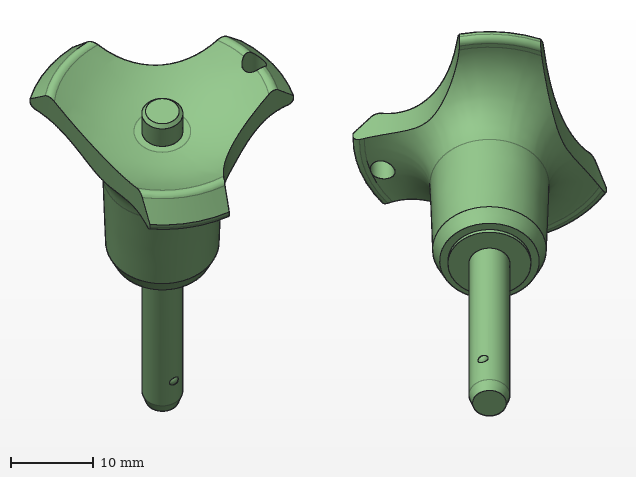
import cadquery as cq
import math


shank_radius = 2.5
shank_length = 26.0
nose_radius = 2.05
nose_height = 1.5
ball_radius = 0.72
ball_tip_radius = 2.83
ball_height_above_nose = 5.5

handle_height = 26.7
collar_radius = 5.05
collar_height = 0.5
base_radius = 6.05
grip_bottom_radius = 6.92
grip_bottom_z = 2.6
grip_top_radius = 7.25
flare_radius = 7.95

head_radius = 16.6
rim_depth = 4.0
band_top_depth = 2.7
tip_radius = 0.8
lip_radius = 0.95
lip_center_radius = 13.75
dish_radius = 23.0

side_scallop_radius = 16.1
side_scallop_x = 21.46
side_scallop_y = 13.6
front_scallop_radius = 50.5
front_scallop_y = -9.19

wing_hole_radius = 1.5
wing_hole_y = 13.7

button_radius = 2.5
button_drop = 0.45
button_chamfer = 0.45
seat_radius = 3.45

rim_bottom_z = handle_height - rim_depth
grip_top_z = rim_bottom_z - flare_radius
band_top_z = handle_height - band_top_depth
lip_center_z = handle_height - lip_radius
tip_center_radius = head_radius - tip_radius
tip_center_z = rim_bottom_z + tip_radius
dish_center_z = lip_center_z + math.sqrt((dish_radius + lip_radius) ** 2 - lip_center_radius ** 2)
seat_z = dish_center_z - math.sqrt(dish_radius ** 2 - seat_radius ** 2)


def arc_point(center_r, center_z, radius, angle):
    """Point in the (radius, height) half-plane on an arc at the given angle in radians."""
    return (center_r + radius * math.cos(angle), center_z + radius * math.sin(angle))


def make_handle():
    band_offset_r = head_radius - lip_center_radius
    band_offset_z = band_top_z - lip_center_z
    band_distance = math.hypot(band_offset_r, band_offset_z)
    rim_angle = math.atan2(band_offset_z, band_offset_r) + math.acos(lip_radius / band_distance)
    dish_angle = math.atan2(dish_center_z - lip_center_z, -lip_center_radius)
    lip_mid_angle = (rim_angle + dish_angle) / 2
    seat_angle = math.acos(seat_radius / dish_radius)
    dish_edge_angle = math.pi - dish_angle
    dish_mid_angle = -(seat_angle + dish_edge_angle) / 2
    flare_center_r = grip_top_radius + flare_radius

    profile = (
        cq.Workplane("XZ")
        .lineTo(collar_radius, 0)
        .lineTo(collar_radius, collar_height)
        .lineTo(base_radius, collar_height)
        .lineTo(grip_bottom_radius, grip_bottom_z)
        .lineTo(grip_top_radius, grip_top_z)
        .threePointArc(
            arc_point(flare_center_r, grip_top_z, flare_radius, math.radians(135)),
            (flare_center_r, rim_bottom_z),
        )
        .lineTo(tip_center_radius, rim_bottom_z)
        .threePointArc(
            arc_point(tip_center_radius, tip_center_z, tip_radius, math.radians(-45)),
            (head_radius, tip_center_z),
        )
        .lineTo(head_radius, band_top_z)
        .lineTo(*arc_point(lip_center_radius, lip_center_z, lip_radius, rim_angle))
        .threePointArc(
            arc_point(lip_center_radius, lip_center_z, lip_radius, lip_mid_angle),
            arc_point(lip_center_radius, lip_center_z, lip_radius, dish_angle),
        )
        .threePointArc(
            arc_point(0, dish_center_z, dish_radius, dish_mid_angle),
            (seat_radius, seat_z),
        )
        .lineTo(0, seat_z)
        .close()
    )
    return profile.revolve(360, (0, 0, 0), (0, 1, 0))


def vertical_cylinder(x, y, radius):
    return cq.Workplane("XY").center(x, y).circle(radius).extrude(handle_height)


def cut_scallops(handle):
    for side in (-1, 1):
        handle = handle.cut(vertical_cylinder(side * side_scallop_x, side_scallop_y, side_scallop_radius))
    return handle.cut(vertical_cylinder(0, front_scallop_y - front_scallop_radius, front_scallop_radius))


def make_button():
    button_top_z = handle_height - button_drop
    return (
        cq.Workplane("XY")
        .circle(button_radius)
        .extrude(button_top_z)
        .faces(">Z")
        .chamfer(button_chamfer)
    )


def make_shank():
    return (
        cq.Workplane("XY")
        .circle(shank_radius)
        .extrude(-shank_length)
        .faces("<Z")
        .chamfer(nose_height, shank_radius - nose_radius)
    )


def make_ball(side):
    ball_x = side * (ball_tip_radius - ball_radius)
    ball_z = ball_height_above_nose - shank_length
    return cq.Workplane("XY").sphere(ball_radius).translate((ball_x, 0, ball_z))


handle = cut_scallops(make_handle())
handle = handle.cut(vertical_cylinder(0, wing_hole_y, wing_hole_radius))

result = handle.union(make_button()).union(make_shank())
for side in (-1, 1):
    result = result.union(make_ball(side))